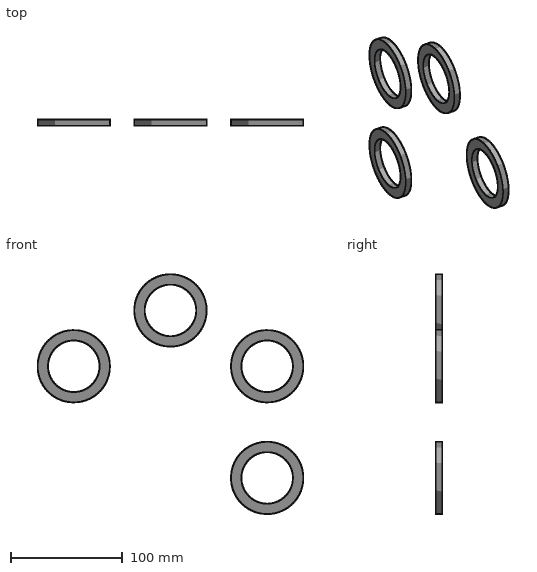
import cadquery as cq
import math

overall_width = 238.0
ring_outer_diameter = 65.0
ring_inner_diameter = 46.0
ring_thickness = 6.0

corner_angles = [30, 90, 150, -30]
half_span = (overall_width - ring_outer_diameter) / 2
hexagon_radius = half_span / math.cos(math.radians(30))


def make_ring(angle):
    """Flat ring with its axis along Y, centred on one hexagon corner."""
    center_x = hexagon_radius * math.cos(math.radians(angle))
    center_z = hexagon_radius * math.sin(math.radians(angle))
    return (
        cq.Workplane("XZ")
        .center(center_x, center_z)
        .circle(ring_outer_diameter / 2)
        .circle(ring_inner_diameter / 2)
        .extrude(ring_thickness)
    )


rings = [make_ring(angle) for angle in corner_angles]

result = cq.Compound.makeCompound([ring.val() for ring in rings])